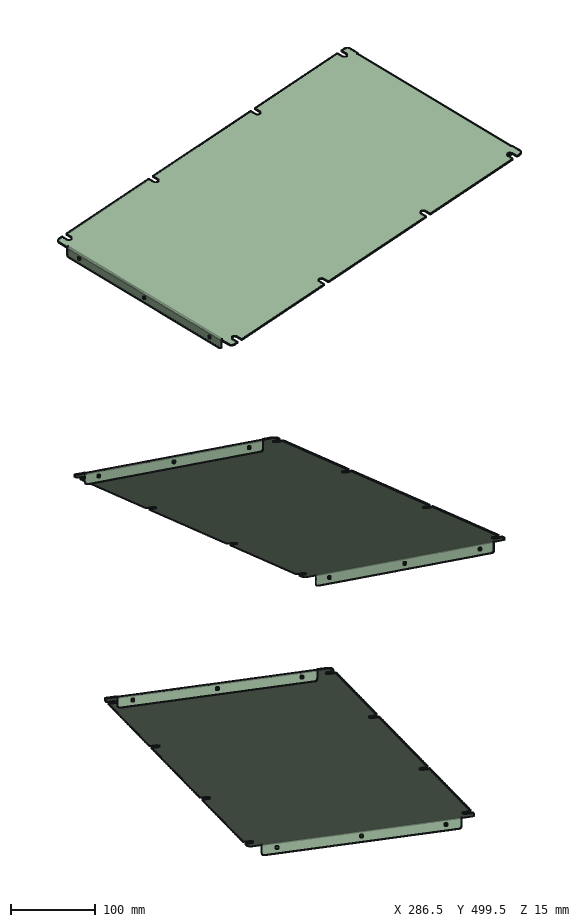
import cadquery as cq

plate_width = 286.5
plate_length = 499.5
sheet = 1.5
corner_radius = 5.0

flange_width = 251.5
flange_height = 15.0
flange_corner_radius = 3.0
bend_inner_radius = 0.5
bend_outer_radius = bend_inner_radius + sheet

hole_diameter = 4.0
hole_spacing = 106.5
hole_depth_below_top = 7.5

slot_width = 7.0
slot_depth = 11.5
corner_slot_y = 236.5
middle_slot_y = 87.5


def make_plate():
    plate = cq.Workplane("XY").box(plate_width, plate_length, sheet, centered=(True, True, False))
    return plate.translate((0, 0, -sheet)).edges("|Z").fillet(corner_radius)


def make_channel():
    """Folded U section carrying both flanges, with rounded flange corners."""
    outer = cq.Workplane("XY").box(flange_width, plate_length, flange_height, centered=(True, True, False))
    outer = outer.translate((0, 0, -flange_height))
    outer = outer.edges("|Y and <Z").fillet(flange_corner_radius)
    outer = outer.edges("|X and >Z").fillet(bend_outer_radius)
    inner = cq.Workplane("XY").box(
        plate_width, plate_length - 2 * sheet, flange_height, centered=(True, True, False)
    )
    inner = inner.translate((0, 0, -flange_height - sheet))
    inner = inner.edges("|X and >Z").fillet(bend_inner_radius)
    return outer.cut(inner)


def make_bend_clearance():
    """Full-thickness edge strips removed from the plate where the bends replace it."""
    strip = cq.Workplane("XY").box(flange_width, bend_outer_radius, 2 * sheet)
    offset = (plate_length - bend_outer_radius) / 2
    return strip.translate((0, offset, 0)).union(strip.translate((0, -offset, 0)))


def make_slots():
    slot_ys = (-corner_slot_y, -middle_slot_y, middle_slot_y, corner_slot_y)
    points = [(side * plate_width / 2, y) for side in (-1, 1) for y in slot_ys]
    return cq.Workplane("XY").pushPoints(points).slot2D(2 * slot_depth, slot_width).extrude(sheet, both=True)


def make_holes():
    points = [(x, -hole_depth_below_top) for x in (-hole_spacing, 0, hole_spacing)]
    holes = cq.Workplane("XZ").pushPoints(points).circle(hole_diameter / 2)
    return holes.extrude(plate_length, both=True)


plate = make_plate().cut(make_bend_clearance()).cut(make_slots())
result = plate.union(make_channel()).cut(make_holes())